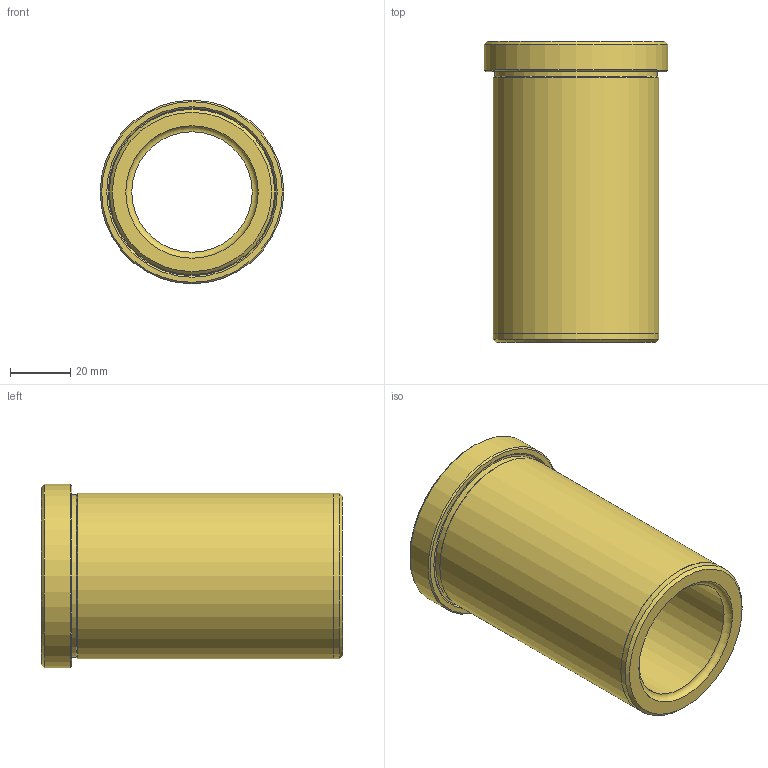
import cadquery as cq

LENGTH = 100.0
HEAD_DIAMETER = 61.0
HEAD_LENGTH = 10.0
HEAD_BACK_CHAMFER = 1.0
HEAD_FRONT_CHAMFER = 0.5

BODY_DIAMETER = 55.0
LEAD_DIAMETER = 54.9
LEAD_LENGTH = 3.0
LEAD_CHAMFER = 1.0

RELIEF_DEPTH = 0.45
RELIEF_LENGTH = 2.0

FACE_RECESS_DEPTH = 0.5
FACE_RECESS_MOUTH_DIAMETER = 56.6
FACE_RECESS_FLOOR_DIAMETER = 55.6

BORE_DIAMETER = 40.0
BORE_ROUND = 2.0

head_radius = HEAD_DIAMETER / 2
body_radius = BODY_DIAMETER / 2
lead_radius = LEAD_DIAMETER / 2
bore_radius = BORE_DIAMETER / 2
face_recess_mouth_radius = FACE_RECESS_MOUTH_DIAMETER / 2
face_recess_floor_radius = FACE_RECESS_FLOOR_DIAMETER / 2
relief_radius = body_radius - RELIEF_DEPTH

tip_y = 0.0
back_y = tip_y + LENGTH
head_front_y = back_y - HEAD_LENGTH
face_recess_floor_y = head_front_y + FACE_RECESS_DEPTH
relief_end_y = head_front_y - RELIEF_LENGTH


def revolve_about_y(profile):
    """Full turn of a closed XY profile about the Y axis."""
    return profile.revolve(360, (0, 0, 0), (0, 1, 0))


def make_outer_body():
    """Solid of revolution for the head, undercut relief, body and stepped lead."""
    profile = (
        cq.Workplane("XY")
        .moveTo(0, tip_y)
        .lineTo(lead_radius - LEAD_CHAMFER, tip_y)
        .lineTo(lead_radius, tip_y + LEAD_CHAMFER)
        .lineTo(lead_radius, tip_y + LEAD_LENGTH)
        .lineTo(body_radius, tip_y + LEAD_LENGTH)
        .lineTo(body_radius, relief_end_y)
        .lineTo(relief_radius, relief_end_y + RELIEF_DEPTH)
        .lineTo(relief_radius, face_recess_floor_y)
        .lineTo(face_recess_floor_radius, face_recess_floor_y)
        .lineTo(face_recess_mouth_radius, head_front_y)
        .lineTo(head_radius - HEAD_FRONT_CHAMFER, head_front_y)
        .lineTo(head_radius, head_front_y + HEAD_FRONT_CHAMFER)
        .lineTo(head_radius, back_y - HEAD_BACK_CHAMFER)
        .lineTo(head_radius - HEAD_BACK_CHAMFER, back_y)
        .lineTo(0, back_y)
        .close()
    )
    return revolve_about_y(profile)


def make_bore():
    """Through bore that flares out on a quarter round at the tip."""
    mouth_radius = bore_radius + BORE_ROUND
    profile = (
        cq.Workplane("XY")
        .moveTo(0, tip_y)
        .lineTo(mouth_radius, tip_y)
        .radiusArc((bore_radius, tip_y + BORE_ROUND), -BORE_ROUND)
        .lineTo(bore_radius, back_y)
        .lineTo(0, back_y)
        .close()
    )
    return revolve_about_y(profile)


result = make_outer_body().cut(make_bore())